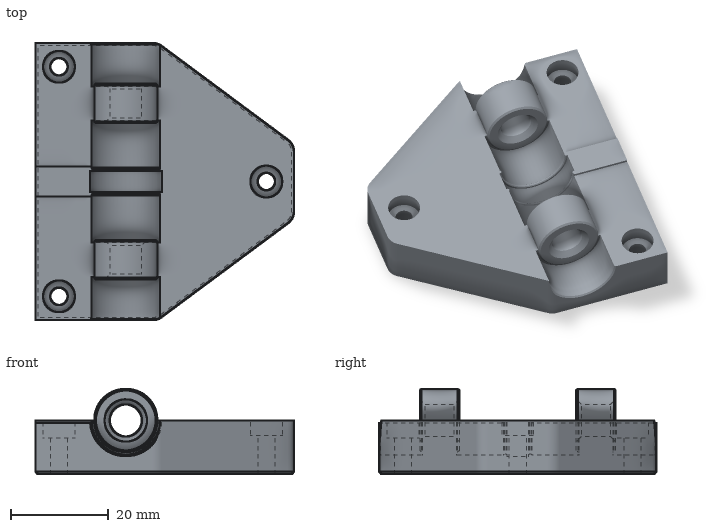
import cadquery as cq

LENGTH = 56.8
HALF_LENGTH = LENGTH / 2
LEFT_X = -18.5
RIGHT_X = 34.45
SHOULDER_X = 6.5
NOSE_HALF_WIDTH = 7.6
CORNER_RADIUS = 3.0
PLATE_HEIGHT = 11.0
BOTTOM_CHAMFER = 0.5

STEP_DEPTH = 0.5
STEP_Z = PLATE_HEIGHT - STEP_DEPTH
TONGUE_WIDTH = 6.15

AXIS_Z = PLATE_HEIGHT
KNUCKLE_RADIUS = 6.5
KNUCKLE_LENGTH = 8.05
KNUCKLE_Y = 16.0
KNUCKLE_CHAMFER = 0.35
SADDLE_LENGTH = 7.0
BORE_RADIUS = 3.265
BORE_CHAMFER = 1.1

TROUGH_RADIUS = 7.05
TROUGH_END_CHAMFER = 0.3
RELIEF_RADIUS = 7.4
RELIEF_WIDTH = 4.4
RIB_HEIGHT = 0.15
RIB_CHAMFER = 0.15
RIB_WIDTH = 0.7

HOLE_DIAMETER = 3.5
COUNTERBORE_DIAMETER = 6.55
COUNTERBORE_DEPTH = 3.1
LEFT_HOLE_X = -13.7
LEFT_HOLE_Y = 23.5
RIGHT_HOLE_X = 28.8


def revolve_on_axis(profile):
    """Solid of revolution about the hinge axis from (radius, y) points."""
    return (
        cq.Workplane("XY", origin=(0, 0, AXIS_Z))
        .polyline(profile)
        .close()
        .revolve(360, (0, 0, 0), (0, 1, 0))
    )


def make_plate():
    """House-shaped plate with rounded right-hand corners and a chamfered underside."""
    outline = [
        (LEFT_X, -HALF_LENGTH),
        (SHOULDER_X, -HALF_LENGTH),
        (RIGHT_X, -NOSE_HALF_WIDTH),
        (RIGHT_X, NOSE_HALF_WIDTH),
        (SHOULDER_X, HALF_LENGTH),
        (LEFT_X, HALF_LENGTH),
    ]
    plate = cq.Workplane("XY").polyline(outline).close().extrude(PLATE_HEIGHT)
    plate = plate.edges("|Z and (not <X)").fillet(CORNER_RADIUS)
    return plate.faces("<Z").edges().chamfer(BOTTOM_CHAMFER)


def make_step(side):
    """Material removed from the left top on one side of the tongue."""
    length = HALF_LENGTH - TONGUE_WIDTH / 2
    y_middle = side * (HALF_LENGTH + TONGUE_WIDTH / 2) / 2
    return (
        cq.Workplane("XY", origin=(LEFT_X / 2, y_middle, STEP_Z))
        .rect(-LEFT_X, length)
        .extrude(STEP_DEPTH)
    )


def make_middle_trough():
    """Trough between the saddles: a wider relief flanked by two chamfered ribs."""
    end = KNUCKLE_Y - SADDLE_LENGTH / 2
    relief_end = RELIEF_WIDTH / 2
    rib_end = relief_end + RIB_WIDTH
    rib_radius = TROUGH_RADIUS - RIB_HEIGHT
    half_profile = [
        (RELIEF_RADIUS, relief_end),
        (TROUGH_RADIUS, relief_end),
        (rib_radius, relief_end + RIB_CHAMFER),
        (rib_radius, rib_end - RIB_CHAMFER),
        (TROUGH_RADIUS, rib_end),
        (TROUGH_RADIUS, end),
        (0, end),
    ]
    mirrored = [(radius, -y) for radius, y in reversed(half_profile)]
    return revolve_on_axis(mirrored + half_profile)


def make_end_trough(side):
    """Trough from a saddle to the end of the plate, flared at the mouth."""
    start = KNUCKLE_Y + SADDLE_LENGTH / 2
    profile = [
        (0, side * start),
        (TROUGH_RADIUS, side * start),
        (TROUGH_RADIUS, side * (HALF_LENGTH - TROUGH_END_CHAMFER)),
        (TROUGH_RADIUS + TROUGH_END_CHAMFER, side * HALF_LENGTH),
        (0, side * HALF_LENGTH),
    ]
    return revolve_on_axis(profile)


def make_knuckle(y_middle):
    """Solid knuckle barrel with chamfered rims."""
    barrel = (
        cq.Workplane("XZ", origin=(0, y_middle + KNUCKLE_LENGTH / 2, AXIS_Z))
        .circle(KNUCKLE_RADIUS)
        .extrude(KNUCKLE_LENGTH)
    )
    return barrel.faces("|Y").edges().chamfer(KNUCKLE_CHAMFER)


def make_bore(y_middle):
    """Knuckle bore, countersunk at both ends."""
    half = KNUCKLE_LENGTH / 2
    mouth_radius = BORE_RADIUS + BORE_CHAMFER
    profile = [
        (0, y_middle - half),
        (mouth_radius, y_middle - half),
        (BORE_RADIUS, y_middle - half + BORE_CHAMFER),
        (BORE_RADIUS, y_middle + half - BORE_CHAMFER),
        (mouth_radius, y_middle + half),
        (0, y_middle + half),
    ]
    return revolve_on_axis(profile)


def make_screw_hole(x, y, top_z):
    """Through hole with a flat-bottomed counterbore sunk from the local top surface."""
    hole = cq.Workplane("XY", origin=(x, y, 0)).circle(HOLE_DIAMETER / 2).extrude(top_z)
    counterbore = (
        cq.Workplane("XY", origin=(x, y, top_z))
        .circle(COUNTERBORE_DIAMETER / 2)
        .extrude(-COUNTERBORE_DEPTH)
    )
    return hole.union(counterbore)


result = make_plate().cut(make_middle_trough())
for side in (-1, 1):
    result = result.cut(make_step(side))
    result = result.cut(make_end_trough(side))
    result = result.union(make_knuckle(side * KNUCKLE_Y))
    result = result.cut(make_bore(side * KNUCKLE_Y))
    result = result.cut(make_screw_hole(LEFT_HOLE_X, side * LEFT_HOLE_Y, STEP_Z))
result = result.cut(make_screw_hole(RIGHT_HOLE_X, 0, PLATE_HEIGHT))